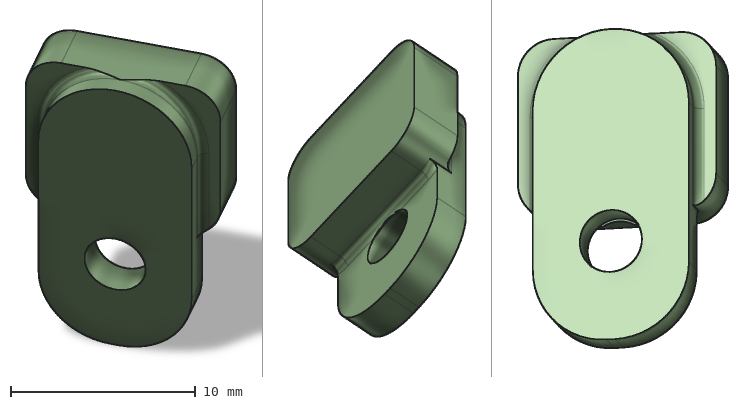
import cadquery as cq

total_depth = 4.5

plate_width = 8.66
plate_height = 17.32
plate_thickness = 2.0
plate_top_radius = plate_width / 2
plate_bottom_radius = 4.09

block_width = 11.0
block_height = 10.0
block_depth = 3.0
block_corner_radius = 2.0
block_front = total_depth - block_depth

hole_diameter = 3.45
blend_hole_diameter = 3.15
hole_z = -11.83

blend_radius = 0.5

edge_margin = 0.02


def make_plate():
    """Upright plate with a full round top and large rounded bottom corners."""
    half = plate_width / 2
    bottom = -plate_height
    bottom_flat = half - plate_bottom_radius
    diagonal = plate_bottom_radius * 0.5 ** 0.5
    arc_center_z = bottom + plate_bottom_radius
    return (
        cq.Workplane("XZ")
        .moveTo(-half, -plate_top_radius)
        .threePointArc((0, 0), (half, -plate_top_radius))
        .lineTo(half, arc_center_z)
        .threePointArc((bottom_flat + diagonal, arc_center_z - diagonal), (bottom_flat, bottom))
        .lineTo(-bottom_flat, bottom)
        .threePointArc((-bottom_flat - diagonal, arc_center_z - diagonal), (-half, arc_center_z))
        .close()
        .extrude(-plate_thickness)
    )


def make_block():
    """Block with four rounded corners."""
    return (
        cq.Workplane("XY")
        .box(block_width, block_depth, block_height, centered=(True, False, False))
        .translate((0, block_front, -block_height))
        .edges("|Y")
        .fillet(block_corner_radius)
    )


def make_side_blend():
    """Concave fillet around the plate sides and round top, against the block front."""
    side = plate_width / 2
    reach = side + blend_radius
    arc_offset = blend_radius * (1 - 0.5 ** 0.5)
    section = (
        cq.Workplane("XY")
        .workplane(offset=-plate_top_radius)
        .moveTo(0, block_front)
        .lineTo(reach, block_front)
        .threePointArc((side + arc_offset, block_front - arc_offset), (side, block_front - blend_radius))
        .lineTo(0, block_front - blend_radius)
        .close()
    )
    wire = section.wire().val()
    top = section.revolve(360, (0, 0, 0), (0, 1, 0))
    straight = section.newObject([wire]).toPending().extrude(plate_top_radius - block_height)
    blend = top.union(straight).union(straight.mirror("YZ"))
    footprint = make_block().translate((0, -blend_radius, 0))
    return blend.intersect(footprint)


def make_hole(diameter, depth):
    """Cylinder running back from the plate front."""
    return cq.Workplane("XZ").center(0, hole_z).circle(diameter / 2).extrude(-depth)


underside_edges = cq.selectors.BoxSelector(
    (-plate_width, plate_thickness - edge_margin, -block_height - edge_margin),
    (plate_width, plate_thickness + edge_margin, -block_height + block_corner_radius),
)

body = make_plate().union(make_block())
body = body.edges(underside_edges).fillet(blend_radius)
body = body.union(make_side_blend())
body = body.cut(make_hole(hole_diameter, plate_thickness))
result = body.cut(make_hole(blend_hole_diameter, plate_thickness + blend_radius))